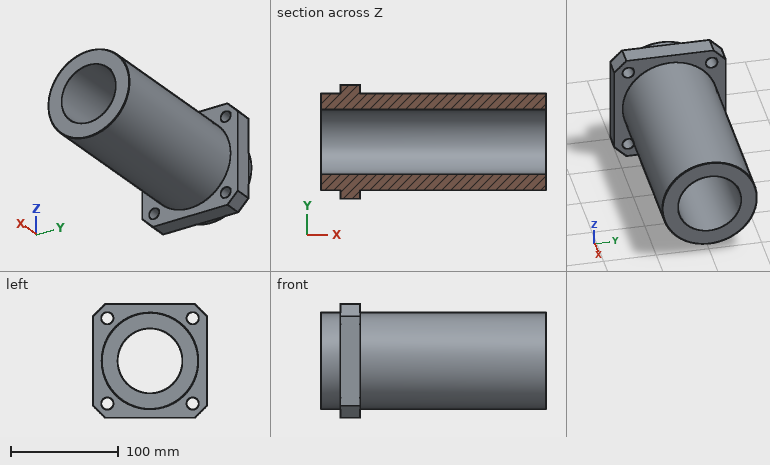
import cadquery as cq

length = 209.0
sleeve_diameter = 90.0
bore_diameter = 60.0
end_chamfer = 0.5

flange_side = 106.0
flange_start = 18.0
flange_thickness = 18.4
corner_cut = 11.5

hole_diameter = 11.0
hole_spacing = 79.2


def make_sleeve():
    """Solid cylinder with a slight bevel at both ends."""
    return (
        cq.Workplane("YZ")
        .circle(sleeve_diameter / 2)
        .extrude(length)
        .edges("%CIRCLE")
        .chamfer(end_chamfer)
    )


def make_flange():
    """Square plate with cut corners and a hole near each corner."""
    return (
        cq.Workplane("YZ", origin=(flange_start, 0, 0))
        .rect(flange_side, flange_side)
        .extrude(flange_thickness)
        .edges("|X")
        .chamfer(corner_cut)
        .faces("<X")
        .workplane(centerOption="CenterOfBoundBox")
        .rect(hole_spacing, hole_spacing, forConstruction=True)
        .vertices()
        .hole(hole_diameter)
    )


bore = cq.Workplane("YZ").circle(bore_diameter / 2).extrude(length)
result = make_sleeve().union(make_flange()).cut(bore)